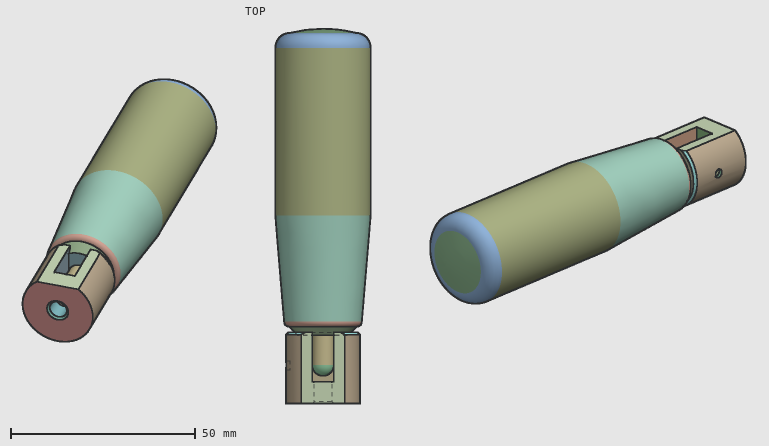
import cadquery as cq
import math

LENGTH = 101.9
FRONT_Y = -LENGTH / 2
BACK_Y = LENGTH / 2

GRIP_DIAMETER = 26.0
GRIP_RADIUS = GRIP_DIAMETER / 2
GRIP_CORNER_Y = 45.7
GRIP_CORNER_RADIUS = 4.1
TAPER_BACK_Y = 0.2
TAPER_FRONT_Y = -28.6
NOSE_RADIUS = 10.6
NOSE_ROUND = 1.4

CONE_BACK_RADIUS = NOSE_RADIUS - NOSE_ROUND
CONE_BACK_Y = TAPER_FRONT_Y - NOSE_ROUND
CONE_LENGTH = 2.3
CONE_FRONT_RADIUS = CONE_BACK_RADIUS - CONE_LENGTH
CONE_FRONT_Y = CONE_BACK_Y - CONE_LENGTH

SPINDLE_RADIUS = 3.0
BALL_CENTRE_Y = -40.4

SOCKET_RADIUS = 10.1
SOCKET_BACK_Y = -31.5
SOCKET_CHAMFER = 0.7
FLAT_HEIGHT = 8.1
SLOT_WIDTH = 2 * SPINDLE_RADIUS
SLOT_FRONT_Y = -45.0
SLOT_FLOOR_Z = -SPINDLE_RADIUS
SIDE_HOLE_RADIUS = 1.2
SIDE_HOLE_DEPTH = 1.0
BORE_RADIUS = 2.4
COUNTERSINK_RADIUS = 3.1


def revolve_about_y(profile):
    return profile.close().revolve(360, (0, 0, 0), (0, 1, 0))


def make_handle():
    """Turned grip with a cone and a ball-ended spindle in front."""
    diagonal = SPINDLE_RADIUS * math.sqrt(0.5)

    rim_radius = GRIP_RADIUS - GRIP_CORNER_RADIUS
    rim_y = GRIP_CORNER_Y + GRIP_CORNER_RADIUS
    dome_height = BACK_Y - rim_y
    dome_radius = (rim_radius**2 + dome_height**2) / (2 * dome_height)
    half_angle = math.asin(rim_radius / dome_radius) / 2
    dome_mid = (
        dome_radius * math.sin(half_angle),
        BACK_Y - dome_radius * (1 - math.cos(half_angle)),
    )
    corner_mid = (
        rim_radius + GRIP_CORNER_RADIUS * math.sqrt(0.5),
        GRIP_CORNER_Y + GRIP_CORNER_RADIUS * math.sqrt(0.5),
    )
    nose_mid = (
        CONE_BACK_RADIUS + NOSE_ROUND * math.sqrt(0.5),
        TAPER_FRONT_Y - NOSE_ROUND * math.sqrt(0.5),
    )
    profile = (
        cq.Workplane("XY")
        .moveTo(0, BALL_CENTRE_Y - SPINDLE_RADIUS)
        .threePointArc((diagonal, BALL_CENTRE_Y - diagonal), (SPINDLE_RADIUS, BALL_CENTRE_Y))
        .lineTo(SPINDLE_RADIUS, CONE_FRONT_Y)
        .lineTo(CONE_FRONT_RADIUS, CONE_FRONT_Y)
        .lineTo(CONE_BACK_RADIUS, CONE_BACK_Y)
        .threePointArc(nose_mid, (NOSE_RADIUS, TAPER_FRONT_Y))
        .lineTo(GRIP_RADIUS, TAPER_BACK_Y)
        .lineTo(GRIP_RADIUS, GRIP_CORNER_Y)
        .threePointArc(corner_mid, (rim_radius, rim_y))
        .threePointArc(dome_mid, (0, BACK_Y))
    )
    return revolve_about_y(profile)


def make_socket_blank():
    """Round block, chamfered at the back, with a flat along its top."""
    length = SOCKET_BACK_Y - FRONT_Y
    blank = (
        cq.Workplane("XZ", origin=(0, FRONT_Y, 0))
        .circle(SOCKET_RADIUS)
        .extrude(-length)
        .faces(">Y")
        .chamfer(SOCKET_CHAMFER)
    )
    above_flat = cq.Workplane("XY", origin=(0, (FRONT_Y + SOCKET_BACK_Y) / 2, FLAT_HEIGHT)).box(
        2 * SOCKET_RADIUS, length, SOCKET_RADIUS, centered=(True, True, False)
    )
    return blank.cut(above_flat)


def make_cone_recess():
    """Recess in the back of the socket that fits the handle's cone."""
    return revolve_about_y(
        cq.Workplane("XY")
        .moveTo(0, CONE_FRONT_Y)
        .lineTo(CONE_FRONT_RADIUS, CONE_FRONT_Y)
        .lineTo(CONE_BACK_RADIUS, CONE_BACK_Y)
        .lineTo(0, CONE_BACK_Y)
    )


def make_slot():
    """Flat-floored slot for the spindle, open at the top and the back."""
    return cq.Workplane("XY", origin=(0, SLOT_FRONT_Y, SLOT_FLOOR_Z)).box(
        SLOT_WIDTH,
        SOCKET_BACK_Y - SLOT_FRONT_Y,
        FLAT_HEIGHT - SLOT_FLOOR_Z,
        centered=(True, False, False),
    )


def make_side_hole():
    """Shallow blind hole in the -X side of the socket."""
    return (
        cq.Workplane("YZ", origin=(-SOCKET_RADIUS, BALL_CENTRE_Y, 0))
        .circle(SIDE_HOLE_RADIUS)
        .extrude(SIDE_HOLE_DEPTH)
    )


def make_bore():
    """Countersunk axial hole from the front face into the slot."""
    countersink_depth = COUNTERSINK_RADIUS - BORE_RADIUS
    return revolve_about_y(
        cq.Workplane("XY")
        .moveTo(0, FRONT_Y)
        .lineTo(COUNTERSINK_RADIUS, FRONT_Y)
        .lineTo(BORE_RADIUS, FRONT_Y + countersink_depth)
        .lineTo(BORE_RADIUS, SLOT_FRONT_Y)
        .lineTo(0, SLOT_FRONT_Y)
    )


def make_socket():
    return (
        make_socket_blank()
        .cut(make_cone_recess())
        .cut(make_slot())
        .cut(make_side_hole())
        .cut(make_bore())
    )


handle = make_handle()
socket = make_socket()

result = cq.Compound.makeCompound([handle.val(), *socket.solids().vals()])